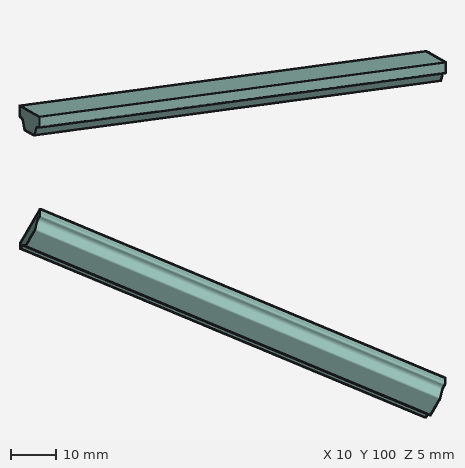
import cadquery as cq
import math

width = 10.0
length = 100.0
height = 5.0

flange_thickness = 2.6
foot_bottom_width = 5.0
foot_angle = 25.0

flange_radius = 0.4
root_radius = 1.0
foot_radius = 0.5

foot_height = height - flange_thickness
foot_top_width = foot_bottom_width + 2 * foot_height * math.tan(math.radians(foot_angle))


def tapered_rail():
    """Extrude the sharp-cornered section along Y, centred on the origin."""
    top = height / 2
    bottom = -height / 2
    shelf = top - flange_thickness
    right_half = [
        (width / 2, top),
        (width / 2, shelf),
        (foot_top_width / 2, shelf),
        (foot_bottom_width / 2, bottom),
    ]
    left_half = [(-x, z) for x, z in reversed(right_half)]
    return (
        cq.Workplane("XZ")
        .polyline(right_half + left_half)
        .close()
        .extrude(length / 2, both=True)
    )


def round_edge_pair(rail, section_width, level, radius):
    """Round the two lengthwise edges that lie section_width apart at height level."""
    for side in (-1, 1):
        edge_centre = (side * section_width / 2, 0, level)
        rail = rail.edges(cq.selectors.NearestToPointSelector(edge_centre)).fillet(radius)
    return rail


shelf_level = height / 2 - flange_thickness
result = tapered_rail()
result = round_edge_pair(result, width, shelf_level, flange_radius)
result = round_edge_pair(result, foot_top_width, shelf_level, root_radius)
result = round_edge_pair(result, foot_bottom_width, -height / 2, foot_radius)